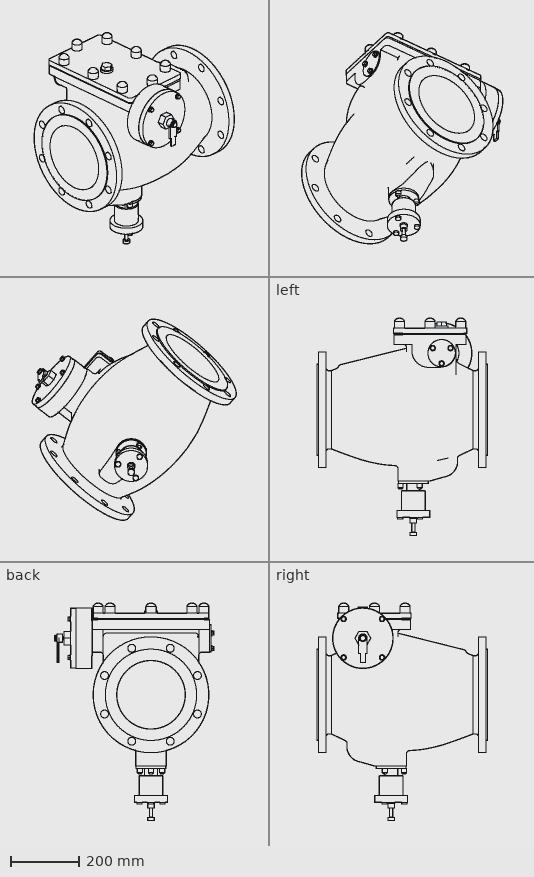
import cadquery as cq
import math


face_to_face = 500.0
bore_diameter = 200.0
raised_face_diameter = 268
raised_face_height = 4.0
flange_diameter = 340.0
flange_thickness = 23.0
pipe_hole_diameter = 23.0
pipe_hole_circle = 294.5
pipe_hole_count = 8
pipe_neck_diameter = 230.0
pipe_neck_fillet = 7.5
bulge_start = 208.0
bulge_radius = 164.5
bulge_center_y = -13
bulge_shoulder_y = 89
bulge_shoulder_radius = 155.0
bulge_cone_y = 150.5
bulge_cone_radius = 136.5
bulge_rear_y = -161.0
bulge_rear_radius = 137.0

bonnet_half_width = 140
bonnet_back_y = -157.5
bonnet_corner_radius = 30.0
bonnet_front_y = -12.0
hood_start_y = -4.0
hood_tip_y = 187.5
hood_tip_half_width = 30.0
hood_side_point = (106.5, 108.5)
hood_top_z = 178.5
hood_slope = 0.25
hood_edge_radius = 10.0
body_seam_radius = 19

cover_center_y = -81.5
bonnet_flange_depth = 212.0
bonnet_flange_bottom = 191.5
bonnet_flange_top = 220.0
bonnet_flange_corner = 12.0
gasket_size = (311.0, 161.0)
gasket_corner = 9.5
cover_size = (339.0, 215.5)
cover_bottom = 224.0
cover_top = 239.0
cover_corner = 8.0
under_flange_fillet = 9.0
edge_margin = 0.5

cap_nut_diameter = 30.0
cap_nut_top = 269.0
cap_dome_height = 10.0
corner_nut_x = 120.0
corner_nut_dy = 90.0
side_nut_x = 155.0
plug_diameter = 37.0
plug_collar_height = 7.0
plug_hex_flats = 27.5
plug_hex_height = 11.5

shaft_y = -115.5
shaft_z = 166
boss_radius = 49.0
boss_center_z = 173.5
boss_front_y = -28.0
boss_reach = 172
boss_seam_radius = 9.0
blind_cover_diameter = 80.5
blind_cover_thickness = 4.0
blind_bolt_circle = 60.0
blind_bolt_count = 3
shaft_collar_diameter = 101.5
shaft_collar_length = 1.0
housing_diameter = 178.0
housing_length = 46.0
housing_cap_diameter = 176.0
housing_cap_length = 16.0
housing_bolt_circle = 159.5
housing_bolt_count = 4
shaft_hex_flats = 40.0
shaft_hex_length = 20.0
washer_diameter = 16.0
washer_thickness = 2.5
bolt_flats = 11.5
bolt_head_height = 6.0

drop_y = -32.5
drop_boss_radius = 45.0
drop_boss_bottom = -209.0
drop_boss_end_radius = 30.5
drop_boss_end_y = -162.0
drop_slope_start = (-81.0, -209.0)
drop_slope_end = (-121, -198)
drop_round_point = (-149.0, -184.0)
drop_round_end_z = -159.5
drop_seam_radius = 8.0
drop_plate_diameter = 88.0
drop_plate_bottom = -217
drop_collar_diameter = 39.0
cylinder_diameter = 70
cylinder_top = -236
cylinder_chamfer = 2.5
drop_flange_diameter = 97.0
drop_flange_top = -294.5
drop_flange_bottom = -315.0
gland_diameter = 23.0
gland_height = 4.0
stem_nut_diameter = 20.0
stem_nut_bottom = -332.0
stem_diameter = 10.0
stem_bottom = -358.5
stem_tip_diameter = 8.0
stem_tip_length = 1.0
stem_foot_bottom = -368.5
drop_nut_circle = 75.0
drop_nut_diameter = 16.0
drop_nut_height = 14.5
drop_nut_chamfer = 4.0
drop_bolt_circle = 78.0
drop_bolt_diameter = 16.0
drop_bolt_height = 6.0
drop_fastener_count = 3

lever_start_x = 257.0
lever_pin_diameter = 10.0
lever_pin_length = 2.0
knob_diameter = 25.0
knob_length = 11.0
lever_thickness = 6.0
lever_bottom_z = 94.5
lever_tip_width = 15.0
lever_shoulder_z = 120.5
lever_washer_diameter = 20.0
lever_washer_thickness = 2.5
lever_bolt_diameter = 15.0
lever_end_x = 282.5


def plane_x(x, y=shaft_y, z=shaft_z):
    """Sketch plane that faces +X, with its axes along Y and Z."""
    return cq.Workplane(cq.Plane(origin=(x, y, z), xDir=(0, 1, 0), normal=(1, 0, 0)))


def rod_x(diameter, x_start, length, y=shaft_y, z=shaft_z):
    """Cylinder along X from x_start; a negative length runs towards -X."""
    return plane_x(x_start, y, z).circle(diameter / 2).extrude(length)


def hex_x(flats, x_start, length, y=shaft_y, z=shaft_z):
    """Hexagonal bar along X from x_start, with two of its corners towards +Y and -Y."""
    return plane_x(x_start, y, z).polygon(6, hex_diameter(flats)).extrude(length)


def rod_z(diameter, z_low, z_high, x=0, y=0):
    """Vertical cylinder between two heights."""
    return cq.Workplane(origin=(x, y, z_low)).circle(diameter / 2).extrude(z_high - z_low)


def hex_diameter(flats):
    """Corner-to-corner size of a hexagon."""
    return flats / math.cos(math.pi / 6)


def circle_points(circle, count, first_angle):
    """Points evenly spaced on a bolt circle around (0, 0)."""
    angles = [math.radians(first_angle + 360 / count * i) for i in range(count)]
    return [(circle / 2 * math.cos(a), circle / 2 * math.sin(a)) for a in angles]


def rounded_plate(size, corner, z_low, z_high):
    """Rectangular plate of the cover stack, with rounded corners."""
    plate = cq.Workplane(origin=(0, cover_center_y, z_low)).rect(*size).extrude(z_high - z_low)
    return plate.edges("|Z").fillet(corner)


def bulged_body():
    """Swollen body of revolution between the two flange necks."""
    end_radius = pipe_neck_diameter / 2
    flange_y = face_to_face / 2 - raised_face_height - flange_thickness
    return (
        cq.Workplane("XY")
        .moveTo(0, -flange_y)
        .lineTo(end_radius, -flange_y)
        .lineTo(end_radius, -bulge_start)
        .spline(
            [
                (bulge_rear_radius, bulge_rear_y),
                (bulge_radius, bulge_center_y),
                (bulge_shoulder_radius, bulge_shoulder_y),
                (bulge_cone_radius, bulge_cone_y),
                (end_radius, bulge_start),
            ],
            includeCurrent=True,
        )
        .lineTo(end_radius, flange_y)
        .lineTo(0, flange_y)
        .close()
        .revolve(360, (0, 0, 0), (0, 1, 0))
    )


def pipe_flange(side):
    """Flange with raised face and neck fillet at the +Y (side=1) or -Y (side=-1) end."""
    outer_y = face_to_face / 2
    rim_y = outer_y - raised_face_height
    inner_y = rim_y - flange_thickness
    neck = pipe_neck_diameter / 2
    flange = (
        cq.Workplane("XY")
        .moveTo(0, side * outer_y)
        .lineTo(raised_face_diameter / 2, side * outer_y)
        .lineTo(raised_face_diameter / 2, side * rim_y)
        .lineTo(flange_diameter / 2, side * rim_y)
        .lineTo(flange_diameter / 2, side * inner_y)
        .lineTo(neck + pipe_neck_fillet, side * inner_y)
        .radiusArc((neck, side * (inner_y - pipe_neck_fillet)), -side * pipe_neck_fillet)
        .lineTo(0, side * (inner_y - pipe_neck_fillet))
        .close()
        .revolve(360, (0, 0, 0), (0, 1, 0))
    )
    holes = (
        cq.Workplane("XZ", origin=(0, side * outer_y, 0))
        .pushPoints(circle_points(pipe_hole_circle, pipe_hole_count, 180 / pipe_hole_count))
        .circle(pipe_hole_diameter / 2)
        .extrude(side * (raised_face_height + flange_thickness))
    )
    return flange.cut(holes)


def bonnet_box():
    """Straight part of the bonnet, with rounded back corners."""
    length = bonnet_front_y - bonnet_back_y
    return (
        cq.Workplane("XY")
        .box(2 * bonnet_half_width, length, bonnet_flange_bottom, centered=(True, False, False))
        .translate((0, bonnet_back_y, 0))
        .edges("|Z and <Y")
        .fillet(bonnet_corner_radius)
    )


def hood():
    """Arched hood in front of the bonnet, under a roof that falls towards +Y."""
    side_x, side_y = hood_side_point
    hood_root_y = boss_front_y
    plan = (
        cq.Workplane("XY")
        .moveTo(-bonnet_half_width, hood_root_y)
        .lineTo(-bonnet_half_width, hood_start_y)
        .threePointArc((-side_x, side_y), (-hood_tip_half_width, hood_tip_y))
        .lineTo(hood_tip_half_width, hood_tip_y)
        .threePointArc((side_x, side_y), (bonnet_half_width, hood_start_y))
        .lineTo(bonnet_half_width, hood_root_y)
        .close()
        .extrude(bonnet_flange_bottom)
    )

    def roof_z(y):
        """Height of the roof above the pipe axis at a given Y."""
        return hood_top_z - hood_slope * (y - hood_start_y)

    far_y = 2 * hood_tip_y
    above_roof = (
        cq.Workplane("YZ")
        .moveTo(hood_root_y, roof_z(hood_root_y))
        .lineTo(far_y, roof_z(far_y))
        .lineTo(far_y, 2 * bonnet_flange_bottom)
        .lineTo(hood_root_y, 2 * bonnet_flange_bottom)
        .close()
        .extrude(2 * bonnet_half_width, both=True)
    )
    return plan.cut(above_roof).faces(">Z").edges("not <Y").fillet(hood_edge_radius)


def side_bosses():
    """U-shaped boss that carries the cross shaft through both sides of the bonnet."""
    back_y = bonnet_back_y
    bottom_z = boss_center_z - boss_radius
    return (
        cq.Workplane("YZ", origin=(-boss_reach, 0, 0))
        .moveTo(back_y, bonnet_flange_bottom)
        .lineTo(back_y, boss_center_z)
        .radiusArc((back_y + boss_radius, bottom_z), -boss_radius)
        .lineTo(boss_front_y - boss_radius, bottom_z)
        .radiusArc((boss_front_y, boss_center_z), -boss_radius)
        .lineTo(boss_front_y, bonnet_flange_bottom)
        .close()
        .extrude(2 * boss_reach)
    )


def is_boss_seam(edge):
    """True for the edges where the side bosses leave the bonnet walls."""
    box = edge.BoundingBox()
    back_limit = bonnet_back_y + bonnet_corner_radius - edge_margin
    bottom_limit = boss_center_z - boss_radius - edge_margin
    on_wall = abs(abs(edge.Center().x) - bonnet_half_width) < edge_margin and box.xlen < edge_margin
    beside_boss = box.ymin > back_limit and box.ymax < boss_front_y + edge_margin
    return on_wall and beside_boss and box.zmin > bottom_limit


def is_body_seam(edge):
    """True for the curves where the bonnet walls meet the bulged body."""
    inside = abs(edge.Center().x) < bonnet_half_width + edge_margin
    return edge.geomType() == "BSPLINE" and inside and 0 < edge.BoundingBox().zmax < bulge_radius


def is_drop_seam(edge):
    """True for the curves where the bottom boss meets the bulged body."""
    box = edge.BoundingBox()
    on_body = -bulge_radius - edge_margin < box.zmin and box.zmax < 0
    return on_body and box.xlen < pipe_neck_diameter


def bonnet():
    """Bonnet with its hood and side bosses, blended where they meet."""
    blank = bonnet_box().union(hood()).union(side_bosses())
    seam = [edge for edge in blank.edges().vals() if is_boss_seam(edge)]
    return blank.newObject(seam).fillet(boss_seam_radius)


def under_flange_blend(wall_y, side, half_length):
    """Concave strip between a bonnet wall that faces +Y (side=1) or -Y (side=-1) and the flange above it."""
    top_z = bonnet_flange_bottom
    radius = under_flange_fillet
    return (
        cq.Workplane("YZ", origin=(-half_length, 0, 0))
        .moveTo(wall_y, top_z)
        .lineTo(wall_y + side * radius, top_z)
        .radiusArc((wall_y, top_z - radius), -side * radius)
        .close()
        .extrude(2 * half_length)
    )


def cap_nut(x, y):
    """Domed nut on the cover."""
    shoulder_z = cap_nut_top - cap_dome_height
    outer = cap_nut_diameter / 2
    dome_radius = (outer ** 2 + cap_dome_height ** 2) / (2 * cap_dome_height)
    return (
        cq.Workplane("XZ")
        .moveTo(0, cover_top)
        .lineTo(outer, cover_top)
        .lineTo(outer, shoulder_z)
        .radiusArc((0, cap_nut_top), -dome_radius)
        .close()
        .revolve(360, (0, 0, 0), (0, 1, 0))
        .translate((x, y, 0))
    )


def cover_stack():
    """Bonnet flange, gasket and cover, with the cap nuts and the vent plug."""
    flange_size = (2 * boss_reach, bonnet_flange_depth)
    stack = rounded_plate(flange_size, bonnet_flange_corner, bonnet_flange_bottom, bonnet_flange_top)
    stack = stack.union(rounded_plate(gasket_size, gasket_corner, bonnet_flange_top, cover_bottom))
    stack = stack.union(rounded_plate(cover_size, cover_corner, cover_bottom, cover_top))
    places = [(-side_nut_x, cover_center_y), (side_nut_x, cover_center_y)]
    for x in (-corner_nut_x, 0, corner_nut_x):
        places.append((x, cover_center_y - corner_nut_dy))
        places.append((x, cover_center_y + corner_nut_dy))
    for x, y in places:
        stack = stack.union(cap_nut(x, y))
    collar_top = cover_top + plug_collar_height
    collar = rod_z(plug_diameter, cover_top, collar_top, 0, shaft_y)
    plug_hex = (
        cq.Workplane(origin=(0, shaft_y, collar_top))
        .polygon(6, hex_diameter(plug_hex_flats))
        .extrude(plug_hex_height)
    )
    return stack.union(collar).union(plug_hex)


def shaft_end_bolt(x, y, z, side):
    """Washer and hexagon head on a face that looks along +X (side=1) or -X (side=-1)."""
    washer = rod_x(washer_diameter, x, side * washer_thickness, y, z)
    head_reach = side * (washer_thickness + bolt_head_height)
    return washer.union(hex_x(bolt_flats, x, head_reach, y, z))


def blind_cover():
    """Round plate with three bolts that closes the -X boss."""
    cover = rod_x(blind_cover_diameter, -boss_reach, -blind_cover_thickness)
    face_x = -boss_reach - blind_cover_thickness
    for dy, dz in circle_points(blind_bolt_circle, blind_bolt_count, -90):
        cover = cover.union(shaft_end_bolt(face_x, shaft_y + dy, shaft_z + dz, -1))
    return cover


def shaft_housing():
    """Collar and round housing on the +X boss, with a cap, four bolts and the shaft hexagon."""
    housing_x = boss_reach + shaft_collar_length
    cap_x = housing_x + housing_length
    face_x = cap_x + housing_cap_length
    housing = rod_x(shaft_collar_diameter, boss_reach, shaft_collar_length)
    housing = housing.union(rod_x(housing_diameter, housing_x, housing_length))
    housing = housing.union(rod_x(housing_cap_diameter, cap_x, housing_cap_length))
    for dy, dz in circle_points(housing_bolt_circle, housing_bolt_count, 180 / housing_bolt_count):
        housing = housing.union(shaft_end_bolt(face_x, shaft_y + dy, shaft_z + dz, 1))
    return housing.union(hex_x(shaft_hex_flats, face_x, shaft_hex_length))


def drop_boss():
    """Boss under the body: tapered in plan, with an underside that rises towards -Y."""
    end_center_y = drop_boss_end_y + drop_boss_end_radius
    sine = (drop_boss_radius - drop_boss_end_radius) / (drop_y - end_center_y)
    cosine = math.sqrt(1 - sine ** 2)
    wide = (drop_boss_radius * cosine, drop_y - drop_boss_radius * sine)
    narrow = (drop_boss_end_radius * cosine, end_center_y - drop_boss_end_radius * sine)
    plan = (
        cq.Workplane("XY", origin=(0, 0, drop_boss_bottom))
        .moveTo(-narrow[0], narrow[1])
        .lineTo(-wide[0], wide[1])
        .threePointArc((0, drop_y + drop_boss_radius), wide)
        .lineTo(*narrow)
        .threePointArc((0, drop_boss_end_y), (-narrow[0], narrow[1]))
        .close()
        .extrude(-drop_boss_bottom)
    )
    front_y = drop_y + drop_boss_radius
    side_outline = (
        cq.Workplane("YZ", origin=(-drop_boss_radius, 0, 0))
        .moveTo(front_y, 0)
        .lineTo(front_y, drop_boss_bottom)
        .lineTo(*drop_slope_start)
        .lineTo(*drop_slope_end)
        .threePointArc(drop_round_point, (drop_boss_end_y, drop_round_end_z))
        .lineTo(drop_boss_end_y, 0)
        .close()
        .extrude(2 * drop_boss_radius)
    )
    return plan.intersect(side_outline)


def drop_valve():
    """Plate, collar, cylinder, flange and stem that hang under the bottom boss."""
    sections = [
        (drop_plate_diameter, drop_plate_bottom, drop_boss_bottom),
        (drop_collar_diameter, cylinder_top, drop_plate_bottom),
        (drop_flange_diameter, drop_flange_bottom, drop_flange_top),
        (stem_nut_diameter, stem_nut_bottom, drop_flange_bottom),
        (stem_diameter, stem_bottom, stem_nut_bottom),
        (stem_tip_diameter, stem_bottom - stem_tip_length, stem_bottom),
        (stem_nut_diameter, stem_foot_bottom, stem_bottom - stem_tip_length),
    ]
    valve = rod_z(cylinder_diameter, drop_flange_top, cylinder_top).faces(">Z").chamfer(cylinder_chamfer)
    for diameter, z_low, z_high in sections:
        valve = valve.union(rod_z(diameter, z_low, z_high))
    gland = (
        cq.Workplane(origin=(0, 0, drop_flange_bottom))
        .circle(gland_diameter / 2)
        .workplane(offset=-gland_height)
        .circle(stem_nut_diameter / 2)
        .loft()
    )
    valve = valve.union(gland)
    for x, y in circle_points(drop_nut_circle, drop_fastener_count, 90):
        nut = rod_z(drop_nut_diameter, drop_plate_bottom - drop_nut_height, drop_plate_bottom, x, y)
        valve = valve.union(nut.faces("<Z").chamfer(drop_nut_chamfer))
    for x, y in circle_points(drop_bolt_circle, drop_fastener_count, 90):
        low_z = drop_flange_bottom - drop_bolt_height
        valve = valve.union(rod_z(drop_bolt_diameter, low_z, drop_flange_bottom, x, y))
    return valve.translate((0, drop_y, 0))


def check_valve():
    """Body, bonnet, flanges and everything fixed to them, bored through."""
    shell = bulged_body().union(bonnet())
    seam = [edge for edge in shell.edges().vals() if is_body_seam(edge)]
    shell = shell.newObject(seam).fillet(body_seam_radius).union(drop_boss())
    drop_seam = [edge for edge in shell.edges().vals() if is_drop_seam(edge)]
    shell = shell.newObject(drop_seam).fillet(drop_seam_radius)
    parts = [
        pipe_flange(1),
        pipe_flange(-1),
        under_flange_blend(bonnet_back_y, -1, bonnet_half_width - bonnet_corner_radius),
        under_flange_blend(bonnet_front_y, 1, bonnet_half_width),
        cover_stack(),
        blind_cover(),
        shaft_housing(),
        drop_valve(),
    ]
    for part in parts:
        shell = shell.union(part)
    bore = cq.Workplane("XZ").circle(bore_diameter / 2).extrude(face_to_face, both=True)
    return shell.cut(bore)


def indicator_lever():
    """Knob on a short pin, the flat lever that hangs from it, and its washer and bolt."""
    knob_x = lever_start_x + lever_pin_length
    plate_x = knob_x + knob_length
    washer_x = plate_x + lever_thickness
    bolt_x = washer_x + lever_washer_thickness
    half_width = knob_diameter / 2
    half_tip = lever_tip_width / 2
    plate = (
        plane_x(plate_x, 0, 0)
        .moveTo(shaft_y - half_width, shaft_z)
        .threePointArc((shaft_y, shaft_z + half_width), (shaft_y + half_width, shaft_z))
        .lineTo(shaft_y + half_width, lever_shoulder_z)
        .lineTo(shaft_y + half_tip, lever_shoulder_z)
        .lineTo(shaft_y + half_tip, lever_bottom_z)
        .lineTo(shaft_y - half_tip, lever_bottom_z)
        .lineTo(shaft_y - half_tip, lever_shoulder_z)
        .lineTo(shaft_y - half_width, lever_shoulder_z)
        .close()
        .extrude(lever_thickness)
    )
    lever = rod_x(lever_pin_diameter, lever_start_x, lever_pin_length)
    lever = lever.union(rod_x(knob_diameter, knob_x, knob_length)).union(plate)
    lever = lever.union(rod_x(lever_washer_diameter, washer_x, lever_washer_thickness))
    return lever.union(rod_x(lever_bolt_diameter, bolt_x, lever_end_x - bolt_x))


valve = check_valve()
lever = indicator_lever()

result = cq.Compound.makeCompound([valve.val(), lever.val()])